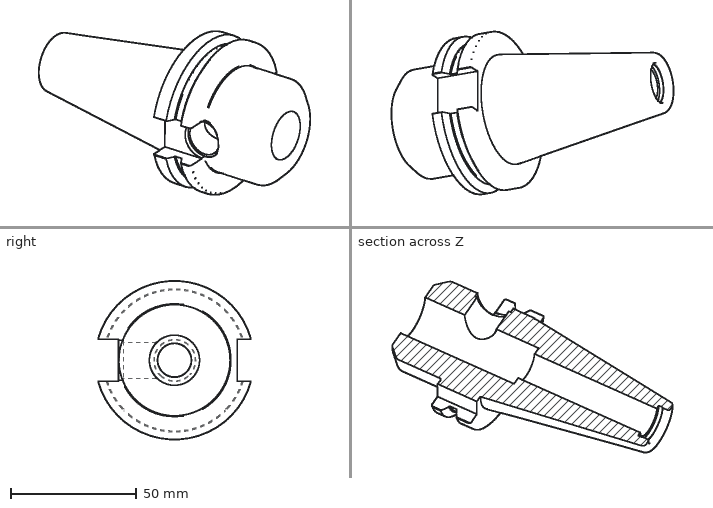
import cadquery as cq
import math

total_length = 112.7
taper_end_x = 68.4
taper_start_radius = 12.2
body_radius = 44.4 / 2
shank_round = 1.8

flange_start_x = 69.4
flange_end_x = 87.5
flange_radius = 63.5 / 2
flange_start_round = 0.8
flange_end_round = 1.1
groove_start_x = 75.7
groove_end_x = 83.0
groove_floor_start_x = 77.5
groove_floor_end_x = 80.9
groove_floor_radius = 28.2
groove_side_radius = 28.6
groove_floor_fillet = 0.3
flange_foot_fillet = 0.3

nose_chamfer = 5.0
nose_shoulder_round = 1.9
nose_edge_round = 1.9

slot_width = 16.7
slot_rim_chamfer = 0.2
front_slot_floor_y = -22.4
back_slot_floor_y = 25.1

through_diameter = 13.4
drawbar_diameter = 16.3
drawbar_depth = 5.0
drawbar_mouth_round = 0.9
relief_diameter = 16.8
relief_start_x = 3.2
tool_bore_diameter = 20.1
tool_bore_depth = 51.8

screw_x = 87.3
screw_diameter = 14.3
screw_mouth_diameter = 16.1
screw_mouth_floor_y = -20.4


def axial_cylinder(start_x, length, diameter):
    """Cylinder on the part axis."""
    return cq.Workplane("YZ", origin=(start_x, 0, 0)).circle(diameter / 2).extrude(length)


def edges_at(solid, x, radius):
    """Circular edges centred on the part axis at the given place and radius."""
    gap = 0.01
    outer = radius + gap
    in_reach = cq.selectors.BoxSelector((x - gap, -outer, -outer), (x + gap, outer, outer), boundingbox=True)
    return solid.edges(in_reach).edges(cq.selectors.RadiusNthSelector(-1))


def make_shank_and_body():
    """Revolved taper and body, with the end edges rounded."""
    nose_radius = body_radius - nose_chamfer
    nose_start_x = total_length - nose_chamfer
    solid = (
        cq.Workplane("XY")
        .moveTo(0, 0)
        .lineTo(0, taper_start_radius)
        .lineTo(taper_end_x, body_radius)
        .lineTo(nose_start_x, body_radius)
        .lineTo(total_length, nose_radius)
        .lineTo(total_length, 0)
        .close()
        .revolve(360, (0, 0, 0), (1, 0, 0))
    )
    solid = edges_at(solid, 0, taper_start_radius).fillet(shank_round)
    solid = edges_at(solid, nose_start_x, body_radius).fillet(nose_shoulder_round)
    return edges_at(solid, total_length, nose_radius).fillet(nose_edge_round)


def make_flange():
    """Revolved flange with rounded rims and the gripper groove."""
    solid = (
        cq.Workplane("XY")
        .moveTo(flange_start_x, 0)
        .lineTo(flange_start_x, flange_radius)
        .lineTo(groove_start_x, flange_radius)
        .lineTo(groove_floor_start_x, groove_side_radius)
        .lineTo(groove_floor_start_x, groove_floor_radius)
        .lineTo(groove_floor_end_x, groove_floor_radius)
        .lineTo(groove_floor_end_x, groove_side_radius)
        .lineTo(groove_end_x, flange_radius)
        .lineTo(flange_end_x, flange_radius)
        .lineTo(flange_end_x, 0)
        .close()
        .revolve(360, (0, 0, 0), (1, 0, 0))
    )
    solid = edges_at(solid, flange_start_x, flange_radius).fillet(flange_start_round)
    solid = edges_at(solid, flange_end_x, flange_radius).fillet(flange_end_round)
    for floor_end_x in (groove_floor_start_x, groove_floor_end_x):
        solid = edges_at(solid, floor_end_x, groove_floor_radius).fillet(groove_floor_fillet)
    return solid


def make_drive_slot(floor_y):
    """Cutter for one slot: straight walls that flare at 45 degrees where they meet the flange rim."""
    side = math.copysign(1, floor_y)
    half_width = slot_width / 2
    rim_half_width = half_width + slot_rim_chamfer
    rim_y = math.sqrt(flange_radius**2 - rim_half_width**2)
    flare_start_y = side * (rim_y - slot_rim_chamfer)
    flare_rise = flange_radius - rim_y + slot_rim_chamfer
    outer_half_width = half_width + flare_rise
    outer_y = side * flange_radius
    return (
        cq.Workplane("YZ", origin=(flange_start_x, 0, 0))
        .polyline([
            (floor_y, -half_width),
            (flare_start_y, -half_width),
            (outer_y, -outer_half_width),
            (outer_y, outer_half_width),
            (flare_start_y, half_width),
            (floor_y, half_width),
        ])
        .close()
        .extrude(flange_end_x - flange_start_x + flange_foot_fillet)
    )


def radial_cylinder(inner_y, diameter):
    """Cylinder on the screw axis, from the given depth out to the flange rim."""
    profile = cq.Workplane("XZ", origin=(screw_x, inner_y, 0)).circle(diameter / 2)
    return profile.extrude(inner_y + flange_radius)


result = make_shank_and_body().union(make_flange())
result = edges_at(result, flange_end_x, body_radius).fillet(flange_foot_fillet)

for slot_floor_y in (front_slot_floor_y, back_slot_floor_y):
    result = result.cut(make_drive_slot(slot_floor_y))

result = result.cut(axial_cylinder(0, total_length, through_diameter))
result = result.cut(axial_cylinder(0, drawbar_depth, drawbar_diameter))
result = result.cut(axial_cylinder(relief_start_x, drawbar_depth - relief_start_x, relief_diameter))
result = edges_at(result, 0, drawbar_diameter / 2).fillet(drawbar_mouth_round)
result = result.cut(axial_cylinder(total_length - tool_bore_depth, tool_bore_depth, tool_bore_diameter))

result = result.cut(radial_cylinder(0, screw_diameter))
result = result.cut(radial_cylinder(screw_mouth_floor_y, screw_mouth_diameter))